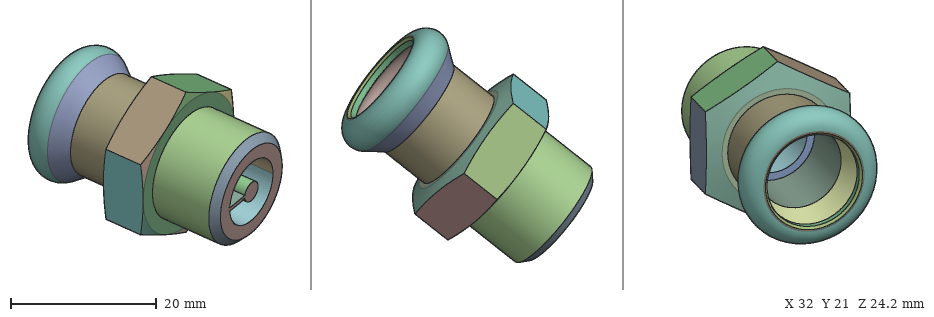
import cadquery as cq
import math

length = 32.0
tube_radius = 15.2 / 2
thread_radius = 16.67 / 2
thread_chamfer = 1.12
thread_chamfer_drop = 1.2

bead_radius = 2.7
bead_center_x = bead_radius
bead_center_radius = 7.25
cone_end_x = 6.8

hex_start = 14.0
hex_end = 21.3
hex_flats = 21.0
hex_chamfer_angle = math.radians(15)
hex_face_radius = 8.4
turning_margin = 0.32

lip_radius = 13.4 / 2
lip_end = 1.25
mouth_chamfer = 0.35
groove_radius = 1.28
groove_center_x = lip_end + groove_radius
groove_center_radius = 7.07
socket_radius = 12.2 / 2
taper_end = 6.1
socket_depth = 17.0
bore_radius = 10.0 / 2

pin_diameter = 3.07
web_thickness = 0.58


def tangent_point(center, arc_radius, target):
    """Point where a straight line running towards +X to the target leaves the arc."""
    dx = target[0] - center[0]
    dr = target[1] - center[1]
    angle = math.atan2(dr, dx) + math.acos(arc_radius / math.hypot(dx, dr))
    return (
        center[0] + arc_radius * math.cos(angle),
        center[1] + arc_radius * math.sin(angle),
    )


def make_body():
    """Bead, tube and threaded end as one solid of revolution."""
    bead_center = (bead_center_x, bead_center_radius)
    cone_end = (cone_end_x, tube_radius)
    bead_top = (bead_center_x, bead_center_radius + bead_radius)
    profile = (
        cq.Workplane("XY")
        .moveTo(0, 0)
        .lineTo(0, bead_center_radius)
        .threePointArc(bead_top, tangent_point(bead_center, bead_radius, cone_end))
        .lineTo(*cone_end)
        .lineTo(hex_start, tube_radius)
        .lineTo(hex_start, thread_radius)
        .lineTo(length - thread_chamfer, thread_radius)
        .lineTo(length, thread_radius - thread_chamfer_drop)
        .lineTo(length, 0)
        .close()
    )
    return profile.revolve(360, (0, 0, 0), (1, 0, 0))


def make_hexagon():
    """Hexagon prism trimmed by a turned chamfer at each end."""
    corner_diameter = hex_flats / math.cos(math.pi / 6)
    outer_radius = corner_diameter / 2 + turning_margin
    slope = math.tan(hex_chamfer_angle)
    start_chamfer = (outer_radius - hex_face_radius) * slope
    end_chamfer = (outer_radius - hex_flats / 2) * slope
    prism = (
        cq.Workplane("YZ", origin=(hex_start, 0, 0))
        .transformed(rotate=(0, 0, 90))
        .polygon(6, corner_diameter)
        .extrude(hex_end - hex_start)
    )
    turned = (
        cq.Workplane("XY")
        .polyline(
            [
                (hex_start, 0),
                (hex_start, hex_face_radius),
                (hex_start + start_chamfer, outer_radius),
                (hex_end - end_chamfer, outer_radius),
                (hex_end, hex_flats / 2),
                (hex_end, 0),
            ]
        )
        .close()
        .revolve(360, (0, 0, 0), (1, 0, 0))
    )
    return prism.intersect(turned)


def make_cavity():
    """Chamfered mouth, round seal groove, tapered socket and through bore."""
    groove_center = (groove_center_x, groove_center_radius)
    groove_top = (groove_center_x, groove_center_radius + groove_radius)
    taper_tip = (taper_end, socket_radius)
    return (
        cq.Workplane("XY")
        .moveTo(0, 0)
        .lineTo(0, lip_radius + mouth_chamfer)
        .lineTo(mouth_chamfer, lip_radius)
        .lineTo(lip_end, lip_radius)
        .lineTo(lip_end, groove_center_radius)
        .threePointArc(groove_top, tangent_point(groove_center, groove_radius, taper_tip))
        .lineTo(*taper_tip)
        .lineTo(socket_depth, socket_radius)
        .lineTo(socket_depth, bore_radius)
        .lineTo(length, bore_radius)
        .lineTo(length, 0)
        .close()
        .revolve(360, (0, 0, 0), (1, 0, 0))
    )


def make_pin():
    """Pin and web running the whole length of the narrow bore."""
    run = length - socket_depth
    web_reach = (bore_radius + thread_radius - thread_chamfer_drop) / 2
    section = cq.Workplane("YZ", origin=(socket_depth, 0, 0))
    pin = section.circle(pin_diameter / 2).extrude(run)
    web = section.center(-web_reach / 2, 0).rect(web_reach, web_thickness).extrude(run)
    return pin.union(web)


result = make_body().union(make_hexagon()).cut(make_cavity()).union(make_pin())